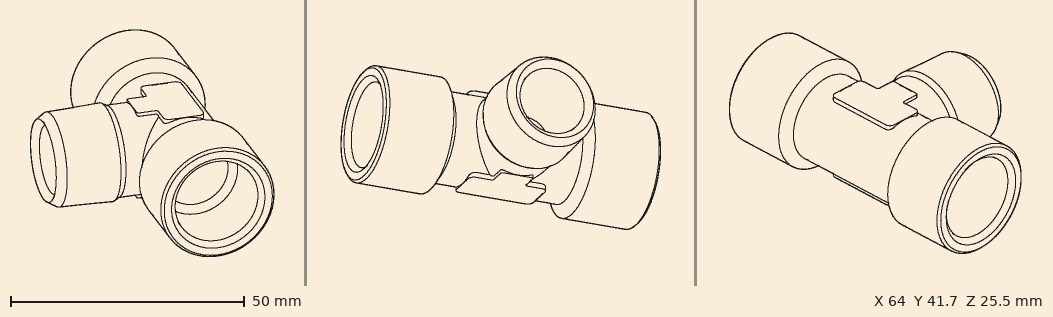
import cadquery as cq
import math

length = 64.0
half_length = length / 2
neck_diameter = 20.0
bore_diameter = 15.0
neck_radius = neck_diameter / 2
bore_radius = bore_diameter / 2

collar_radius = 25.5 / 2
collar_length = 15.5
shoulder_length = 1.7
rim_chamfer_length = 0.6
rim_chamfer_height = 0.6

socket_radius = 18.6 / 2
socket_depth = 15.35
mouth_radius = 10.5
drill_half_angle = 60.0
mouth_depth = mouth_radius - socket_radius
drill_cone_length = (socket_radius - bore_radius) / math.tan(math.radians(drill_half_angle))

branch_reach = 41.7 - collar_radius
spigot_start = 13.6
spigot_shoulder = 15.0
spigot_taper_end = 26.95
spigot_large_radius = 10.7
spigot_small_radius = 10.3
spigot_tip_radius = 9.0
spigot_countersink_depth = spigot_tip_radius - bore_radius

pad_height = 10.05
pad_length = 17.9
pad_width = 9.0
pad_stem_width = 7.55
pad_stem_reach = 9.1
pad_corner_radius = 1.3
stem_corner_radius = 0.5


def revolve_symmetric(half_outline):
    """Revolve an (x, radius) outline and its mirror image in x about the X axis."""
    mirrored_outline = [(-x, radius) for x, radius in reversed(half_outline)]
    outline = cq.Workplane("XY").polyline(mirrored_outline + half_outline).close()
    return outline.revolve(360, (0, 0, 0), (1, 0, 0))


def make_run():
    collar_start = half_length - collar_length
    return revolve_symmetric([
        (collar_start - shoulder_length, neck_radius),
        (collar_start, collar_radius),
        (half_length - rim_chamfer_length, collar_radius),
        (half_length, collar_radius - rim_chamfer_height),
        (half_length, 0),
    ])


def make_run_cavity():
    socket_bottom = half_length - socket_depth
    return revolve_symmetric([
        (socket_bottom - drill_cone_length, bore_radius),
        (socket_bottom, socket_radius),
        (half_length - mouth_depth, socket_radius),
        (half_length, mouth_radius),
        (half_length, 0),
    ])


def revolve_about_y(outline):
    """Revolve a (radius, y) outline about the Y axis."""
    return cq.Workplane("XY").polyline(outline).close().revolve(360, (0, 0, 0), (0, 1, 0))


def make_branch():
    return revolve_about_y([
        (0, 0),
        (neck_radius, 0),
        (neck_radius, -spigot_start),
        (spigot_large_radius, -spigot_shoulder),
        (spigot_small_radius, -spigot_taper_end),
        (spigot_tip_radius, -branch_reach),
        (0, -branch_reach),
    ])


def make_branch_cavity():
    return revolve_about_y([
        (0, 0),
        (bore_radius, 0),
        (bore_radius, -branch_reach + spigot_countersink_depth),
        (spigot_tip_radius, -branch_reach),
        (0, -branch_reach),
    ])


def make_pads():
    """One T-shaped block whose two ends are the upper and lower pads."""
    bar = cq.Workplane("XY").rect(pad_length, pad_width).extrude(pad_height, both=True)
    bar = bar.edges("|Z").fillet(pad_corner_radius)
    stem = (
        cq.Workplane("XY")
        .center(0, -pad_stem_reach / 2)
        .rect(pad_stem_width, pad_stem_reach)
        .extrude(pad_height, both=True)
    )
    stem = stem.edges("|Z and <Y").fillet(stem_corner_radius)
    inner_corners = cq.selectors.BoxSelector(
        (-pad_stem_width, -pad_width / 2 - stem_corner_radius, -pad_height),
        (pad_stem_width, -pad_width / 2 + stem_corner_radius, pad_height),
    )
    return bar.union(stem).edges("|Z").edges(inner_corners).fillet(stem_corner_radius)


body = make_run().union(make_branch()).union(make_pads())
result = body.cut(make_run_cavity()).cut(make_branch_cavity())